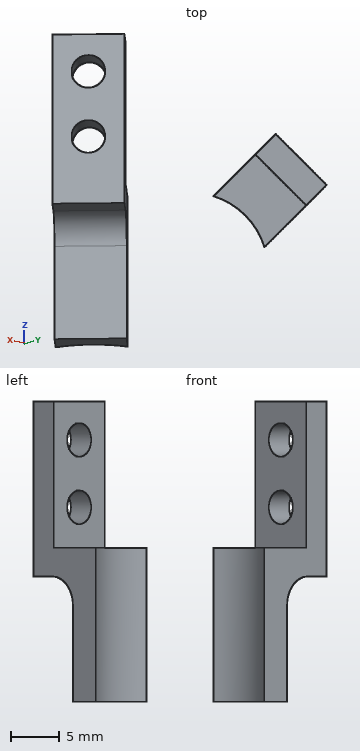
import cadquery as cq
import math

WIDTH = 7.5
TOTAL_HEIGHT = 31.2
TOTAL_DEPTH = 9.15
PLATE_THICKNESS = 3.0
PLATE_LENGTH = 18.2
SHELF_DROP = 15.2
ARM_BACK_OFFSET = 5.8
FILLET_RADIUS = 3.0
HOLLOW_RADIUS = 8.0
HOLE_DIAMETER = 3.5
HOLE_SPACING = 7.0
TOP_HOLE_DROP = 4.0
HOLE_COUNT = 2
TURN_ANGLE = -45.0

PLATE_BOTTOM = TOTAL_HEIGHT - PLATE_LENGTH
SHELF_HEIGHT = TOTAL_HEIGHT - SHELF_DROP
HOLLOW_CENTRE_Y = -TOTAL_DEPTH - math.sqrt(HOLLOW_RADIUS**2 - (WIDTH / 2)**2)


def stepped_body():
    """Plate and arm from one side outline (Y, Z), spread evenly about X = 0."""
    diagonal = FILLET_RADIUS * (1 - math.sqrt(0.5))
    fillet_middle = (-ARM_BACK_OFFSET + diagonal, PLATE_BOTTOM - diagonal)
    outline = (
        cq.Workplane("YZ")
        .moveTo(0, TOTAL_HEIGHT)
        .lineTo(0, PLATE_BOTTOM)
        .lineTo(-ARM_BACK_OFFSET + FILLET_RADIUS, PLATE_BOTTOM)
        .threePointArc(fillet_middle, (-ARM_BACK_OFFSET, PLATE_BOTTOM - FILLET_RADIUS))
        .lineTo(-ARM_BACK_OFFSET, 0)
        .lineTo(-TOTAL_DEPTH, 0)
        .lineTo(-TOTAL_DEPTH, SHELF_HEIGHT)
        .lineTo(-PLATE_THICKNESS, SHELF_HEIGHT)
        .lineTo(-PLATE_THICKNESS, TOTAL_HEIGHT)
        .close()
    )
    return outline.extrude(WIDTH / 2, both=True)


def arm_hollow():
    """Upright cylinder that hollows the front of the arm."""
    return cq.Workplane("XY").center(0, HOLLOW_CENTRE_Y).circle(HOLLOW_RADIUS).extrude(TOTAL_HEIGHT)


def plate_holes():
    """Row of screw holes through the plate, one below the other."""
    top_hole_height = TOTAL_HEIGHT - TOP_HOLE_DROP
    centres = [(0, top_hole_height - i * HOLE_SPACING) for i in range(HOLE_COUNT)]
    return cq.Workplane("XZ").pushPoints(centres).circle(HOLE_DIAMETER / 2).extrude(PLATE_THICKNESS)


bracket = stepped_body().cut(arm_hollow()).cut(plate_holes())
result = bracket.rotate((0, 0, 0), (0, 0, 1), TURN_ANGLE)